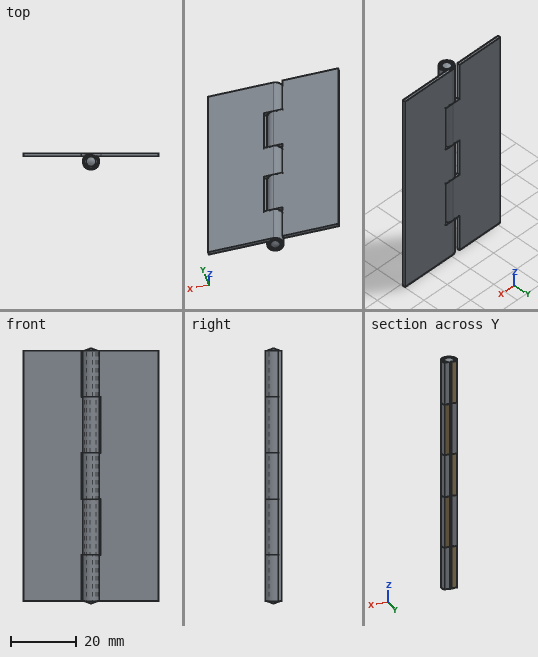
import cadquery as cq

overall_height = 77.5
overall_width = 41.0
barrel_diameter = 5.0
sheet_thickness = 1.0
head_height = 0.8
head_radius = 2.0
end_knuckle_length = 14.0
end_leaf_knuckles = 3
inner_leaf_knuckles = 2
plate_edge_offset = 2.95
curl_slit = 0.04

leaf_height = overall_height - 2 * head_height
half_width = overall_width / 2
barrel_radius = barrel_diameter / 2
bore_radius = barrel_radius - sheet_thickness
inner_knuckle_length = (leaf_height - end_leaf_knuckles * end_knuckle_length) / inner_leaf_knuckles
knuckle_pitch = end_knuckle_length + inner_knuckle_length
leaf_bottom = -leaf_height / 2


def box_between(x_start, x_end, y_start, y_end, bottom, height):
    """Box spanning the given X and Y limits, standing on the given level."""
    return (
        cq.Workplane("XY", origin=(x_start, y_start, bottom))
        .box(x_end - x_start, y_end - y_start, height, centered=False)
    )


def make_knuckle(bottom, length):
    """Sheet that runs in from +X, tangent to the barrel, and curls around the pin."""
    strip = box_between(0, plate_edge_offset, bore_radius, barrel_radius, bottom, length)
    barrel = cq.Workplane("XY", origin=(0, 0, bottom)).circle(barrel_radius).extrude(length)
    bore = cq.Workplane("XY", origin=(0, 0, bottom)).circle(bore_radius).extrude(length)
    slit = box_between(0, barrel_radius, bore_radius - curl_slit, bore_radius, bottom, length)
    return barrel.union(strip).cut(bore).cut(slit)


def make_leaf(first_knuckle_bottom, knuckle_length, knuckle_count):
    """Flat plate on the +X side with its knuckles spaced along the pin."""
    leaf = box_between(
        plate_edge_offset, half_width, bore_radius, barrel_radius, leaf_bottom, leaf_height
    )
    for index in range(knuckle_count):
        bottom = first_knuckle_bottom + index * knuckle_pitch
        leaf = leaf.union(make_knuckle(bottom, knuckle_length))
    return leaf


def make_pin():
    """Stem filling the bore, with a conical head over each end of the barrel."""
    half_stem = leaf_height / 2
    half_pin = overall_height / 2
    return (
        cq.Workplane("XZ")
        .moveTo(0, -half_pin)
        .lineTo(head_radius, -half_stem)
        .lineTo(bore_radius, -half_stem)
        .lineTo(bore_radius, half_stem)
        .lineTo(head_radius, half_stem)
        .lineTo(0, half_pin)
        .close()
        .revolve(360, (0, 0, 0), (0, 1, 0))
    )


right_leaf = make_leaf(leaf_bottom, end_knuckle_length, end_leaf_knuckles)
left_leaf = make_leaf(
    leaf_bottom + end_knuckle_length, inner_knuckle_length, inner_leaf_knuckles
).mirror("YZ")
pin = make_pin()

result = cq.Compound.makeCompound([right_leaf.solids().val(), left_leaf.solids().val(), pin.val()])